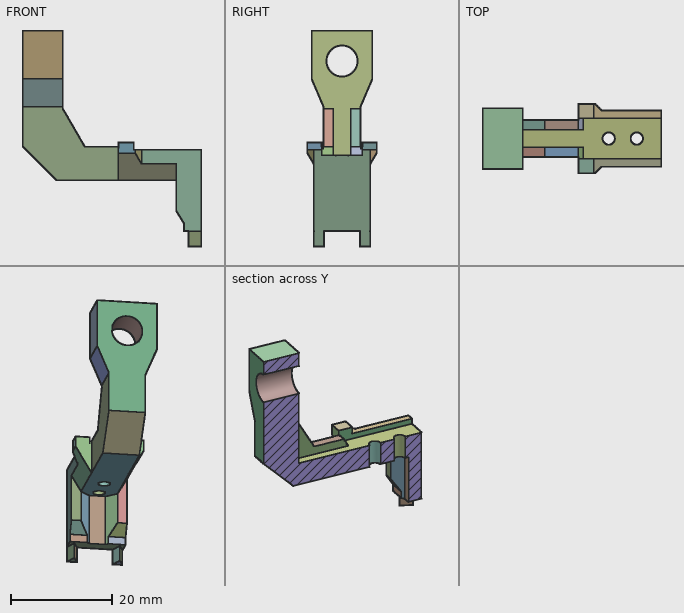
import cadquery as cq
import math

length = 35.25
height = 42.6

head_length = 7.95
head_width = 12.0
head_taper_top = 33.05
head_taper_bottom = 27.55
head_hole_diameter = 6.1
head_hole_z = height - head_width / 2

arm_half_width = 3.65
arm_bottom = 13.08
arm_top = 19.7
arm_end = 18.85
arm_heel_chamfer = arm_top - arm_bottom
gusset_length = 4.3
gusset_slope = math.tan(math.radians(60))
gusset_top = arm_top + gusset_length * gusset_slope
groove_half_width = 1.75

deck_half_width = 5.6
rail_top = 19.12
floor_z = 17.97
floor_half_width = 4.0
ramp_length = (arm_top - floor_z) / gusset_slope
shoulder_half_width = 6.85
shoulder_top = 20.53
shoulder_side_bottom = 18.45
shoulder_step_x = 21.95
shoulder_taper_start = 22.2
shoulder_taper_end = shoulder_taper_start + shoulder_half_width - deck_half_width
deck_hole_diameter = 2.4
deck_hole_positions = (24.87, 30.4)

leg_front = 30.3
leg_bottom = 3.05
leg_chamfer_top = 7.03
leg_chamfer_bottom = 4.55
leg_toe_front = 31.8
recess_depth = 2.05
foot_front = 32.7
foot_width = 2.05


def extrude_across(points, half_width):
    """Extrude an XZ outline evenly to both sides of the centre plane."""
    return cq.Workplane("XZ").polyline(points).close().extrude(half_width, both=True)


def extrude_along(points, start, end):
    """Extrude a YZ outline from one X position to another."""
    return cq.Workplane("YZ", origin=(start, 0, 0)).polyline(points).close().extrude(end - start)


def extrude_up(points, bottom, top):
    """Extrude an XY outline between two heights."""
    return cq.Workplane("XY", origin=(0, 0, bottom)).polyline(points).close().extrude(top - bottom)


def mirrored(half):
    """Complete an outline from its +Y half."""
    return half + [(-y, z) for y, z in reversed(half)]


def box(start, end, half_width, bottom, top):
    """Box centred on Y."""
    outline = mirrored([(half_width, bottom), (half_width, top)])
    return extrude_along(outline, start, end)


def make_head():
    """Upright block narrowing to the arm width, with a hole along X."""
    outline = mirrored([
        (arm_half_width, gusset_top),
        (arm_half_width, head_taper_bottom),
        (head_width / 2, head_taper_top),
        (head_width / 2, height),
    ])
    head = extrude_along(outline, 0, head_length)
    hole = (
        cq.Workplane("YZ")
        .center(0, head_hole_z)
        .circle(head_hole_diameter / 2)
        .extrude(head_length)
    )
    return head.cut(hole)


def make_arm():
    """Arm with a chamfered heel and a gusset, grooved down to the deck floor."""
    arm = extrude_across([
        (0, arm_bottom + arm_heel_chamfer),
        (arm_heel_chamfer, arm_bottom),
        (arm_end, arm_bottom),
        (arm_end, arm_top),
        (head_length + gusset_length, arm_top),
        (head_length, gusset_top),
        (0, gusset_top),
    ], arm_half_width)
    return arm.cut(box(head_length, arm_end, groove_half_width, floor_z, gusset_top))


def make_deck():
    """Deck with sloping flanks, shoulders, a sunken floor and ramps off the arm."""
    section = mirrored([
        (arm_half_width, arm_bottom),
        (shoulder_half_width, shoulder_side_bottom),
        (shoulder_half_width, shoulder_top),
    ])
    plan_half = [
        (arm_end, shoulder_half_width),
        (shoulder_taper_start, shoulder_half_width),
        (shoulder_taper_end, deck_half_width),
        (length, deck_half_width),
    ]
    plan = plan_half + [(x, -y) for x, y in reversed(plan_half)]
    deck = extrude_along(section, arm_end, length)
    deck = deck.intersect(extrude_up(plan, arm_bottom, shoulder_top))
    deck = deck.cut(box(shoulder_step_x, length, shoulder_half_width, rail_top, shoulder_top))
    deck = deck.cut(box(arm_end, length, floor_half_width, floor_z, shoulder_top))
    ramp = extrude_across([
        (arm_end, floor_z),
        (arm_end + ramp_length, floor_z),
        (arm_end, arm_top),
    ], floor_half_width)
    return deck.union(ramp.cut(box(arm_end, length, groove_half_width, floor_z, arm_top)))


def make_leg():
    """Leg with chamfered toes and a trapezoidal recess, closing the deck end."""
    leg = extrude_across([
        (leg_front, floor_z),
        (leg_front, leg_chamfer_top),
        (leg_toe_front, leg_chamfer_bottom),
        (leg_toe_front, leg_bottom),
        (length, leg_bottom),
        (length, floor_z),
    ], deck_half_width)
    rails = box(leg_front, length, deck_half_width, floor_z, rail_top)
    rails = rails.cut(box(leg_front, length, floor_half_width, floor_z, rail_top))
    recess_floor_half_width = arm_half_width - recess_depth
    recess = extrude_up([
        (leg_front, -arm_half_width),
        (leg_front + recess_depth, -recess_floor_half_width),
        (leg_front + recess_depth, recess_floor_half_width),
        (leg_front, arm_half_width),
    ], leg_bottom, arm_bottom)
    return leg.union(rails).cut(recess)


def make_foot(side):
    """Triangular peg under one outer edge of the leg, pointing to -X."""
    outer = side * deck_half_width
    inner = side * (deck_half_width - foot_width)
    middle = (outer + inner) / 2
    return extrude_up([(length, outer), (length, inner), (foot_front, middle)], 0, leg_bottom)


result = make_head().union(make_arm()).union(make_deck()).union(make_leg())
for side in (-1, 1):
    result = result.union(make_foot(side))

deck_holes = (
    cq.Workplane("XY", origin=(0, 0, arm_bottom))
    .pushPoints([(x, 0) for x in deck_hole_positions])
    .circle(deck_hole_diameter / 2)
    .extrude(floor_z - arm_bottom)
)
result = result.cut(deck_holes)